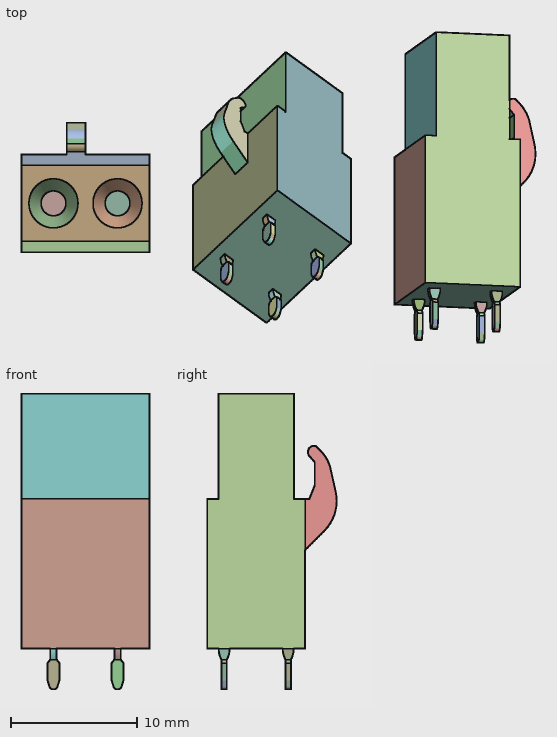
import cadquery as cq
import math

pole_count = 2
housing_width = 10.15
pitch = housing_width / pole_count
base_depth = 7.76
top_depth = 6.0
base_height = 11.87
total_height = 23.45
pin_length = 3.24
housing_height = total_height - pin_length
rear_y = base_depth / 2

entry_diameter = 3.9
entry_floor_diameter = 1.97
entry_depth = 2.1

hook_width = 1.5
hook_center_x = -0.75
hook_reach = 2.5
hook_root = 4.05
heel_radius = 3.35
back_lean = math.radians(12.7)
shoulder_start = (2.0, 2.5)
shoulder_middle = (1.66, 3.25)
shoulder_end = (1.25, 3.8)
nose_start = (0.85, 4.2)
nose_middle = (0.35, 4.05)
nose_end = (0.3, 3.42)
throat_gap = 0.75
throat_top = 2.9
throat_bottom = 1.05
throat_foot = 0.33

row_y = pitch / 2
blade_width = 0.95
blade_thickness = 0.45
neck_width = 0.52
neck_length = 0.87
flare_thickness = 0.9
shoulder_depth = 1.15
taper_depth = 2.5
tip_radius = 0.35
tip_lean = math.radians(20)


def pole_positions():
    return [(index - (pole_count - 1) / 2) * pitch for index in range(pole_count)]


def make_wire_entry(x):
    return (
        cq.Workplane("XY", origin=(x, 0, housing_height - entry_depth))
        .circle(entry_floor_diameter / 2)
        .workplane(offset=entry_depth)
        .circle(entry_diameter / 2)
        .loft(ruled=True)
    )


def make_hook():
    diagonal = math.sqrt(0.5)
    heel_y = hook_reach - heel_radius
    heel_z = heel_y - hook_root + heel_radius / diagonal
    heel_start = (heel_y + heel_radius * diagonal, heel_z - heel_radius * diagonal)
    heel_middle = (hook_reach, heel_z)
    heel_end = (
        heel_y + heel_radius * math.cos(back_lean),
        heel_z + heel_radius * math.sin(back_lean),
    )
    left_side = hook_center_x - hook_width / 2
    return (
        cq.Workplane("YZ", origin=(left_side, rear_y, base_height))
        .moveTo(0, -hook_root)
        .lineTo(*heel_start)
        .threePointArc(heel_middle, heel_end)
        .lineTo(*shoulder_start)
        .threePointArc(shoulder_middle, shoulder_end)
        .lineTo(*nose_start)
        .threePointArc(nose_middle, nose_end)
        .lineTo(throat_gap, throat_top)
        .lineTo(throat_gap, throat_bottom)
        .lineTo(throat_foot, 0)
        .lineTo(0, 0)
        .close()
        .extrude(hook_width)
    )


def make_housing():
    base = cq.Workplane("XY").box(housing_width, base_depth, base_height, centered=(True, True, False))
    top = cq.Workplane("XY").box(housing_width, top_depth, housing_height, centered=(True, True, False))
    body = base.union(top).union(make_hook())
    for x in pole_positions():
        body = body.cut(make_wire_entry(x))
    return body


def make_pin(x, y):
    tip_z = tip_radius - pin_length
    tip_half_width = tip_radius * math.cos(tip_lean)
    tip_edge_z = tip_z - tip_radius * math.sin(tip_lean)
    width_profile = (
        cq.Workplane("XZ", origin=(x, y, 0))
        .moveTo(-neck_width / 2, 0)
        .lineTo(-neck_width / 2, -neck_length)
        .lineTo(-blade_width / 2, -shoulder_depth)
        .lineTo(-blade_width / 2, -taper_depth)
        .lineTo(-tip_half_width, tip_edge_z)
        .threePointArc((0, -pin_length), (tip_half_width, tip_edge_z))
        .lineTo(blade_width / 2, -taper_depth)
        .lineTo(blade_width / 2, -shoulder_depth)
        .lineTo(neck_width / 2, -neck_length)
        .lineTo(neck_width / 2, 0)
        .close()
        .extrude(flare_thickness / 2, both=True)
    )

    flare = flare_thickness / 2
    half_blade = blade_thickness / 2
    flare_radius = ((flare - half_blade) ** 2 + neck_length ** 2) / (2 * (flare - half_blade))
    thickness_profile = (
        cq.Workplane("YZ", origin=(x, y, 0))
        .moveTo(flare, 0)
        .radiusArc((half_blade, -neck_length), flare_radius)
        .lineTo(half_blade, -pin_length)
        .lineTo(-half_blade, -pin_length)
        .lineTo(-half_blade, -neck_length)
        .radiusArc((-flare, 0), flare_radius)
        .close()
        .extrude(blade_width / 2, both=True)
    )
    return width_profile.intersect(thickness_profile)


housing = make_housing()
pins = []
for pin_x in pole_positions():
    for pin_y in (-row_y, row_y):
        pins.append(make_pin(pin_x, pin_y).solids().val())

result = cq.Compound.makeCompound([housing.solids().val(), *pins])